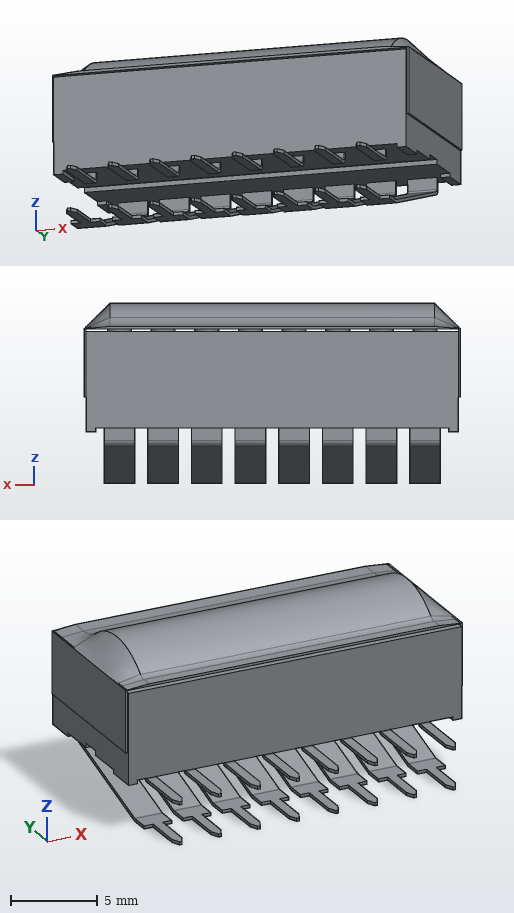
import cadquery as cq
import math


lead_count = 8
pitch = 2.54
row_spacing = pitch
lead_thickness = 0.2
pin_width = 0.63
pin_end_y = -7.85
pin_tip_length = 0.5
pin_tip_width = 0.18
bend_radius = 0.26
rear_lead_y = 3.76
rear_lead_width = 1.8
rear_bend_height = 2.3
rear_lower_bend_y = -3.65
rear_shoulder_y = -4.88
front_lead_y = -3.8

body_length = 21.65
body_width = 9.9
body_bottom = 3.22
body_top = 8.85
foot_bottom = 3.0
foot_length = 0.57
foot_width = 2.0
groove_width = 1.2
groove_top = 3.5

emitter_diameter = 1.4

lens_length = 21.88
lens_width = 9.6
lens_bottom = 8.97
lens_edge_top = 9.0
lens_flat_top = 9.12
lens_crest = 10.48
lens_end_length = 1.5
crest_y = -0.6
crest_radius = 4.64
rear_blend_radius = 2.9
front_blend_radius = 0.63
flange_bottom = 5.0

lead_positions = [(i - (lead_count - 1) / 2) * pitch for i in range(lead_count)]


def box(x_range, y_range, z_range):
    """Block between the given limits along each axis."""
    (x0, x1), (y0, y1), (z0, z1) = x_range, y_range, z_range
    return cq.Workplane("XY").box(x1 - x0, y1 - y0, z1 - z0, centered=False).translate((x0, y0, z0))


def make_body():
    half_length = body_length / 2
    half_width = body_width / 2
    ends = (-half_length, half_length)
    body = box(ends, (-half_width, half_width), (body_bottom, body_top))
    body = body.cut(box(ends, (-groove_width / 2, groove_width / 2), (body_bottom, groove_top)))
    feet = (
        cq.Workplane("XY", origin=(0, 0, foot_bottom))
        .rect(body_length - foot_length, body_width - foot_width, forConstruction=True)
        .vertices()
        .rect(foot_length, foot_width)
        .extrude(body_bottom - foot_bottom)
    )
    return body.union(feet)


def blend_points(blend_radius, side):
    """Tangent points of a concave blend: on the crest arc, halfway along the blend, on the flat."""
    reach = crest_radius + blend_radius
    angle = math.acos(1 - (lens_crest - lens_flat_top) / reach)
    center_y = crest_y + side * reach * math.sin(angle)
    center_z = lens_flat_top + blend_radius

    def point(turn):
        return center_y - side * blend_radius * math.sin(turn), center_z - blend_radius * math.cos(turn)

    return point(angle), point(angle / 2), point(0)


def make_lens():
    half_width = lens_width / 2
    half_length = lens_length / 2
    middle_length = lens_length - 2 * lens_end_length
    rear_crest, rear_mid, rear_foot = blend_points(rear_blend_radius, 1)
    front_crest, front_mid, front_foot = blend_points(front_blend_radius, -1)

    def section(x):
        return (
            cq.Workplane("YZ", origin=(x, 0, 0))
            .moveTo(-half_width, lens_bottom)
            .lineTo(-half_width, lens_flat_top)
            .lineTo(*front_foot)
            .threePointArc(front_mid, front_crest)
            .threePointArc((crest_y, lens_crest), rear_crest)
            .threePointArc(rear_mid, rear_foot)
            .lineTo(half_width, lens_flat_top)
            .lineTo(half_width, lens_bottom)
            .close()
        )

    def end_section(x):
        outline = cq.Workplane("YZ", origin=(x, 0, 0)).moveTo(-half_width, lens_bottom)
        break_points = (front_foot, front_crest, rear_crest, rear_foot)
        for y in [-half_width] + [point[0] for point in break_points] + [half_width]:
            outline = outline.lineTo(y, lens_edge_top)
        return outline.lineTo(half_width, lens_bottom).close()

    lens = section(-middle_length / 2).extrude(middle_length)
    for side in (-1, 1):
        inner = section(side * middle_length / 2).wire().val()
        outer = end_section(side * half_length).wire().val()
        lens = lens.union(cq.Workplane(cq.Solid.makeLoft([inner, outer], True)))
        flange_x = sorted((side * body_length / 2, side * half_length))
        lens = lens.union(box(flange_x, (-half_width, half_width), (flange_bottom, lens_edge_top)))
    return lens


def make_emitters():
    return (
        cq.Workplane("XY", origin=(0, 0, body_top))
        .pushPoints([(x, crest_y) for x in lead_positions])
        .circle(emitter_diameter / 2)
        .extrude(lens_bottom - body_top)
    )


def bent_strip(points, width):
    """Sheet strip swept along a bent centre line in the YZ plane, starting straight down."""
    wire = cq.Workplane("YZ").polyline(points).wire().val().fillet(bend_radius)
    start_y, start_z = points[0]
    profile = cq.Workplane("XY", origin=(0, start_y, start_z)).rect(width, lead_thickness)
    return profile.sweep(cq.Workplane(wire))


def pin_plan(start_y):
    """Upright block with the plan shape of a narrow pin, from its root to its pointed tip."""
    tip_start_y = pin_end_y + pin_tip_length
    half_outline = [
        (pin_width / 2, start_y),
        (pin_width / 2, tip_start_y),
        (pin_tip_width / 2, pin_end_y),
    ]
    mirrored = [(-x, y) for x, y in reversed(half_outline)]
    return cq.Workplane("XY").polyline(half_outline + mirrored).close().extrude(body_bottom)


def make_rear_lead():
    pin_height = lead_thickness / 2
    center_line = [
        (rear_lead_y, body_bottom),
        (rear_lead_y, rear_bend_height),
        (rear_lower_bend_y, pin_height),
        (pin_end_y, pin_height),
    ]
    strip = bent_strip(center_line, rear_lead_width)
    root_y = rear_lead_y + lead_thickness
    blade_x = (-rear_lead_width / 2, rear_lead_width / 2)
    blade_plan = box(blade_x, (rear_shoulder_y, root_y), (0, body_bottom))
    return strip.intersect(blade_plan.union(pin_plan(root_y)))


def make_front_lead():
    pin_height = row_spacing + lead_thickness / 2
    center_line = [
        (front_lead_y, body_bottom),
        (front_lead_y, pin_height),
        (pin_end_y, pin_height),
    ]
    strip = bent_strip(center_line, pin_width)
    root_y = front_lead_y + lead_thickness
    return strip.intersect(pin_plan(root_y))


result = make_body().union(make_emitters()).union(make_lens())
for lead in (make_rear_lead(), make_front_lead()):
    for x in lead_positions:
        result = result.union(lead.translate((x, 0, 0)))